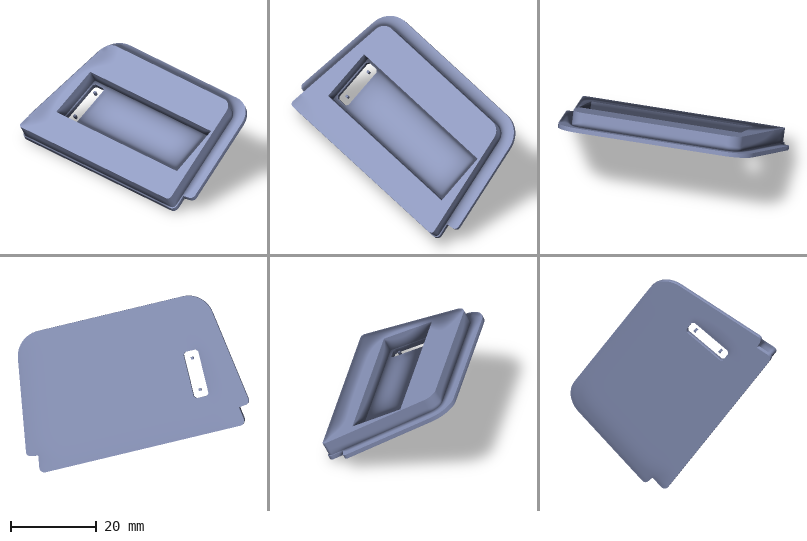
import cadquery as cq
import math

tilt = 28.0
side_angle = 8.9

plate_length = 32.45
plate_thickness = 1.0
body_height = 4.4
front_lip = 0.3
flange_width = 3.1
rear_half_flat = 17.5
body_rear_radius = 2.95
body_front_radius = 0.85

wing_front_y = 4.2
wing_corner_radius = 1.0

pocket_width = 39.2
pocket_length = 12.85
pocket_center_x = 1.15
pocket_center_y = 14.15

slot_width = 3.55
slot_length = 11.15
slot_side_gap = 0.4
slot_corner_chamfer = 0.55

pin_size = 0.6
pin_spacing = 7.55

side_sin = math.sin(math.radians(side_angle))
side_cos = math.cos(math.radians(side_angle))
rear_center_y = plate_length - flange_width - body_rear_radius
plate_rear_radius = body_rear_radius + flange_width
tab_side_offset = body_rear_radius + front_lip
tab_front_radius = body_front_radius + front_lip
slot_center_x = pocket_center_x - pocket_width / 2 + slot_side_gap + slot_width / 2


def side_x(offset, y):
    """Half width at y of a side line lying `offset` outside the rear corner centre."""
    return rear_half_flat + (offset - (y - rear_center_y) * side_sin) / side_cos


def tapered_block(side_offset, front_y, rear_y, front_radius, rear_radius, height):
    """Symmetric trapezoid prism, wide at the front, with rounded corners."""
    front_x = side_x(side_offset, front_y)
    rear_x = side_x(side_offset, rear_y)
    outline = [(-front_x, front_y), (front_x, front_y), (rear_x, rear_y), (-rear_x, rear_y)]
    block = cq.Workplane("XY").polyline(outline).close().extrude(height)
    block = block.edges("|Z and <Y").fillet(front_radius)
    return block.edges("|Z and >Y").fillet(rear_radius)


def make_flange():
    """Wide plate whose wing ends are square to the tapered sides."""
    inner_x = side_x(tab_side_offset, wing_front_y)
    wing_reach = plate_rear_radius - tab_side_offset
    tip = (inner_x + wing_reach * side_cos, wing_front_y + wing_reach * side_sin)
    rear_x = side_x(plate_rear_radius, plate_length)
    outline = [
        (-inner_x, wing_front_y),
        (inner_x, wing_front_y),
        tip,
        (rear_x, plate_length),
        (-rear_x, plate_length),
        (-tip[0], tip[1]),
    ]
    flange = cq.Workplane("XY").polyline(outline).close().extrude(plate_thickness)
    flange = flange.edges("|Z and >Y").fillet(plate_rear_radius)
    for wing_tip in (">X", "<X"):
        flange = flange.edges("|Z").edges(wing_tip).fillet(wing_corner_radius)
    return flange


def make_housing():
    """Flanged plate and raised body in one piece, with a pocket and a through slot."""
    body_rear_y = plate_length - flange_width
    body = tapered_block(
        body_rear_radius, front_lip, body_rear_y, body_front_radius, body_rear_radius, body_height
    )
    front_tab = tapered_block(
        tab_side_offset, 0, body_rear_y, tab_front_radius, tab_side_offset, plate_thickness
    )
    pocket = (
        cq.Workplane("XY", origin=(pocket_center_x, pocket_center_y, plate_thickness))
        .rect(pocket_width, pocket_length)
        .extrude(body_height)
    )
    slot = (
        cq.Workplane("XY", origin=(slot_center_x, pocket_center_y, 0))
        .rect(slot_width, slot_length)
        .extrude(body_height)
        .edges("|Z")
        .chamfer(slot_corner_chamfer)
    )
    return make_flange().union(front_tab).union(body).cut(pocket).cut(slot)


def make_pin(center_y):
    """Square contact pin standing free in the slot, as tall as the plate is thick."""
    return (
        cq.Workplane("XY", origin=(slot_center_x, center_y, 0))
        .rect(pin_size, pin_size)
        .extrude(plate_thickness)
    )


def tilted(body):
    """Lean a body back so that its rear edge rises."""
    return body.rotate((0, 0, 0), (1, 0, 0), tilt)


housing = tilted(make_housing())
pins = []
for direction in (-1, 1):
    pin = make_pin(pocket_center_y + direction * pin_spacing / 2)
    pins.append(tilted(pin))

result = cq.Compound.makeCompound([housing.solids().val(), *[pin.val() for pin in pins]])